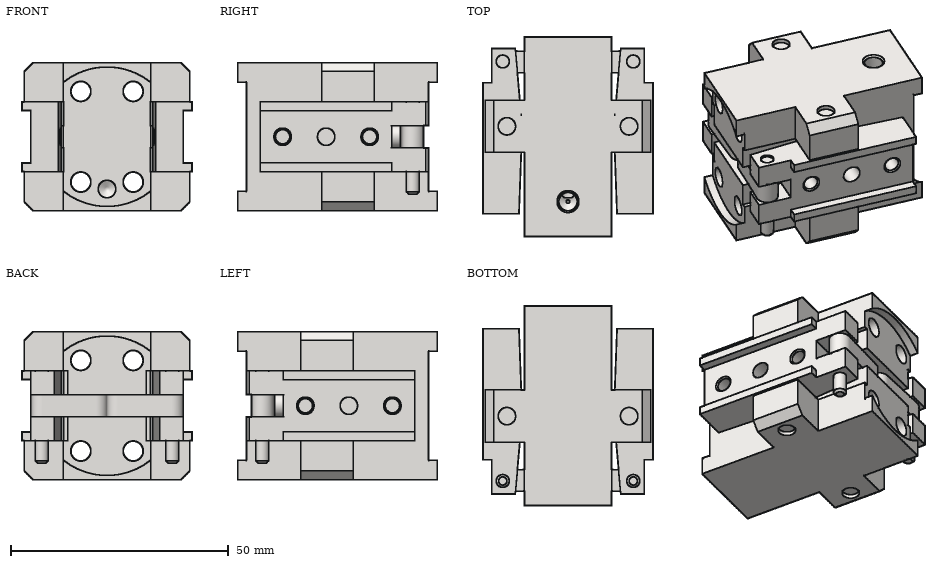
import cadquery as cq
import math


BODY_WIDTH = 20.0
BODY_LENGTH = 45.8
BODY_HEIGHT = 34.0
JAW_SPAN = 39.0
JAW_HEIGHT = 16.0
SLOT_HEIGHT = 5.1

EAR_SPAN = 38.0
EAR_LENGTH = 12.0
EAR_Y = 2.4
EAR_CHAMFER = 2.0
PIVOT_X = 14.0
PIVOT_DIAMETER = 4.0
PIVOT_DEPTH = 1.0

PILOT_DIAMETER = 32.0
PILOT_DEPTH = 2.0
MOUNT_DIAMETER = 4.55
MOUNT_X = 6.0
MOUNT_Z = 10.4

TIP_ANGLE = 118.0
PORT_DEPTH = 5.95
FRONT_PORT_DIAMETER = 4.05
FRONT_PORT_Z = -12.0
TOP_PORT_DIAMETER = 4.2
TOP_PORT_MOUTH = 5.05
TOP_PORT_Y = -14.9
PASSAGE_DIAMETER = 3.5
PASSAGE_LENGTH = 4.6
PASSAGE_RISE = 1.0
BLEED_DIAMETER = 0.8
BLEED_LENGTH = 2.75

JAW_FRONT_Y = -17.7
JAW_REAR_Y = 20.3
JAW_STEP_Y = 12.4
JAW_FRONT_INNER_X = 11.2
JAW_VERTEX_X = 10.5
JAW_REAR_INNER_X = 12.1
GROOVE_HEIGHT = 12.0
GROOVE_DEPTH = 2.0
JAW_HOLE_Y = -2.6
JAW_HOLE_PITCH = 10.0
JAW_HOLE_DIAMETER = 4.0
THREAD_DIAMETER = 3.3
RELIEF_DEPTH = 1.0

PIN_X = 14.98
PIN_Y = 17.25
PIN_DIAMETER = 2.98
PIN_BOTTOM_Z = -13.15
PIN_RECESS = 0.5
PIN_CHAMFER = 0.55
LINK_WIDTH = 5.0
LINK_OFFSET = 0.35
ROD_LENGTH = 20.6

BODY_TOP = BODY_HEIGHT / 2
BODY_END = BODY_LENGTH / 2
JAW_OUTER_X = JAW_SPAN / 2
JAW_GROOVE_X = JAW_OUTER_X - GROOVE_DEPTH
LINK_RADIUS = LINK_WIDTH / 2
JOINT_X = LINK_RADIUS
JOINT_Y = PIN_Y - LINK_OFFSET
ROD_END_Y = JOINT_Y - LINK_RADIUS
PIN_TOP_Z = JAW_HEIGHT / 2 - PIN_RECESS
SIDES = (-1, 1)
ENDS = (-1, 1)


def box(x_range, y_range, z_range):
    """Box between two limits along each axis, given in any order."""
    low = cq.Vector(min(x_range), min(y_range), min(z_range))
    size = [abs(limits[1] - limits[0]) for limits in (x_range, y_range, z_range)]
    return cq.Workplane(cq.Solid.makeBox(*size, low))


def cylinder(diameter, length, start, direction):
    """Cylinder from a start point along a direction."""
    return cq.Workplane(
        cq.Solid.makeCylinder(diameter / 2, length, cq.Vector(*start), cq.Vector(*direction))
    )


def cone(start_diameter, end_diameter, length, start, direction):
    """Cone from a start point along a direction."""
    return cq.Workplane(
        cq.Solid.makeCone(
            start_diameter / 2, end_diameter / 2, length, cq.Vector(*start), cq.Vector(*direction)
        )
    )


def tip_length(diameter):
    return diameter / 2 / math.tan(math.radians(TIP_ANGLE / 2))


def drilled_hole(diameter, depth, start, direction):
    """Blind hole with a conical drill tip below its full-diameter depth."""
    floor = cq.Vector(*start) + cq.Vector(*direction) * depth
    tip = cone(diameter, 0, tip_length(diameter), floor.toTuple(), direction)
    return cylinder(diameter, depth, start, direction).union(tip)


def ears():
    """Cross bar with chamfered corners, split by the gap that takes the jaws."""
    bar = (
        cq.Workplane("XY")
        .box(EAR_SPAN, EAR_LENGTH, BODY_HEIGHT)
        .edges("|Y")
        .chamfer(EAR_CHAMFER)
        .translate((0, EAR_Y, 0))
    )
    return bar.cut(cq.Workplane("XY").box(EAR_SPAN, BODY_LENGTH, JAW_HEIGHT))


def cut_end_faces(body):
    """Round pilot recess in both ends and four mounting holes right through."""
    for end in ENDS:
        body = body.cut(cylinder(PILOT_DIAMETER, PILOT_DEPTH, (0, end * BODY_END, 0), (0, -end, 0)))
    for x in (-MOUNT_X, MOUNT_X):
        for z in (-MOUNT_Z, MOUNT_Z):
            body = body.cut(cylinder(MOUNT_DIAMETER, BODY_LENGTH, (x, -BODY_END, z), (0, 1, 0)))
    return body


def cut_pivot_recesses(body):
    for side in SIDES:
        for end in ENDS:
            start = (side * PIVOT_X, EAR_Y, end * BODY_TOP)
            body = body.cut(cylinder(PIVOT_DIAMETER, PIVOT_DEPTH, start, (0, 0, -end)))
    return body


def cut_ports(body):
    """Front port, and a countersunk top port with a passage and a bleed hole at its bottom."""
    front_start = (0, PILOT_DEPTH - BODY_END, FRONT_PORT_Z)
    body = body.cut(drilled_hole(FRONT_PORT_DIAMETER, PORT_DEPTH, front_start, (0, 1, 0)))

    top_start = (0, TOP_PORT_Y, BODY_TOP)
    down = (0, 0, -1)
    mouth_depth = (TOP_PORT_MOUTH - TOP_PORT_DIAMETER) / 2
    floor_z = BODY_TOP - PORT_DEPTH
    passage_start = (0, TOP_PORT_Y, floor_z + PASSAGE_RISE)
    body = body.cut(drilled_hole(TOP_PORT_DIAMETER, PORT_DEPTH, top_start, down))
    body = body.cut(cone(TOP_PORT_MOUTH, TOP_PORT_DIAMETER, mouth_depth, top_start, down))
    body = body.cut(cylinder(PASSAGE_DIAMETER, PASSAGE_LENGTH, passage_start, (0, 1, 0)))
    return body.cut(cylinder(BLEED_DIAMETER, BLEED_LENGTH, (0, TOP_PORT_Y, floor_z), down))


def cut_mechanism_space(body):
    """Side reliefs behind the jaw pivots, cross slot for the links, and bore for the rod."""
    half_width = BODY_WIDTH / 2
    for side in SIDES:
        relief = box(
            (side * (half_width - RELIEF_DEPTH), side * half_width),
            (EAR_Y, BODY_END),
            (-JAW_HEIGHT / 2, JAW_HEIGHT / 2),
        )
        body = body.cut(relief)
    slot = box(
        (-half_width, half_width),
        (JAW_STEP_Y, BODY_END),
        (-SLOT_HEIGHT / 2, SLOT_HEIGHT / 2),
    )
    return body.cut(slot).cut(piston_rod())


def housing():
    body = cq.Workplane("XY").box(BODY_WIDTH, BODY_LENGTH, BODY_HEIGHT).union(ears())
    body = cut_end_faces(body)
    body = cut_pivot_recesses(body)
    body = cut_ports(body)
    return cut_mechanism_space(body)


def piston_rod():
    """Round rod along Y whose end touches both links."""
    return cylinder(SLOT_HEIGHT, ROD_LENGTH, (0, ROD_END_Y, 0), (0, -1, 0))


def link(side):
    """Round-ended link with the jaw pin through its outer end."""
    joint = cq.Vector(side * JOINT_X, JOINT_Y, 0)
    pin_centre = cq.Vector(side * PIN_X, PIN_Y, 0)
    span = pin_centre - joint
    middle = (pin_centre + joint) * 0.5
    arm = (
        cq.Workplane("XY")
        .slot2D(span.Length + LINK_WIDTH, LINK_WIDTH)
        .extrude(SLOT_HEIGHT / 2, both=True)
        .rotate((0, 0, 0), (0, 0, 1), math.degrees(math.atan2(span.y, span.x)))
        .translate(middle)
    )
    pin_length = PIN_TOP_Z - PIN_BOTTOM_Z
    pin = cylinder(PIN_DIAMETER, pin_length, (side * PIN_X, PIN_Y, PIN_BOTTOM_Z), (0, 0, 1))
    return arm.union(pin.faces("<Z").chamfer(PIN_CHAMFER))


def cut_jaw_holes(body, side):
    """Plain hole between two threaded holes, all straight through along X."""
    inward = (-side, 0, 0)
    mouth_depth = (JAW_HOLE_DIAMETER - THREAD_DIAMETER) / 2
    for step, diameter in ((-1, THREAD_DIAMETER), (0, JAW_HOLE_DIAMETER), (1, THREAD_DIAMETER)):
        y = JAW_HOLE_Y + step * JAW_HOLE_PITCH
        start = (side * JAW_GROOVE_X, y, 0)
        body = body.cut(cylinder(diameter, JAW_GROOVE_X, start, inward))
        if step:
            body = body.cut(cone(JAW_HOLE_DIAMETER, THREAD_DIAMETER, mouth_depth, start, inward))
    return body


def jaw(side):
    """Jaw with a V-shaped inner face, grooved outer face and forked rear end."""
    outline = [
        (JAW_FRONT_INNER_X, JAW_FRONT_Y),
        (JAW_OUTER_X, JAW_FRONT_Y),
        (JAW_OUTER_X, JAW_STEP_Y),
        (JAW_GROOVE_X, JAW_STEP_Y),
        (JAW_GROOVE_X, JAW_REAR_Y),
        (JAW_REAR_INNER_X, JAW_REAR_Y),
        (JAW_VERTEX_X, EAR_Y),
    ]
    body = (
        cq.Workplane("XY")
        .polyline([(side * x, y) for x, y in outline])
        .close()
        .extrude(JAW_HEIGHT / 2, both=True)
    )
    groove = box(
        (side * JAW_GROOVE_X, side * JAW_OUTER_X),
        (JAW_FRONT_Y, JAW_STEP_Y),
        (-GROOVE_HEIGHT / 2, GROOVE_HEIGHT / 2),
    )
    fork = box(
        (0, side * JAW_OUTER_X),
        (JAW_STEP_Y, JAW_REAR_Y),
        (-SLOT_HEIGHT / 2, SLOT_HEIGHT / 2),
    )
    pin_hole = cylinder(PIN_DIAMETER, JAW_HEIGHT, (side * PIN_X, PIN_Y, -JAW_HEIGHT / 2), (0, 0, 1))
    body = body.cut(groove).cut(fork).cut(pin_hole)
    return cut_jaw_holes(body, side)


jaws = [jaw(side).val() for side in SIDES]
links = [link(side).val() for side in SIDES]
result = cq.Compound.makeCompound([housing().val(), piston_rod().val(), *jaws, *links])